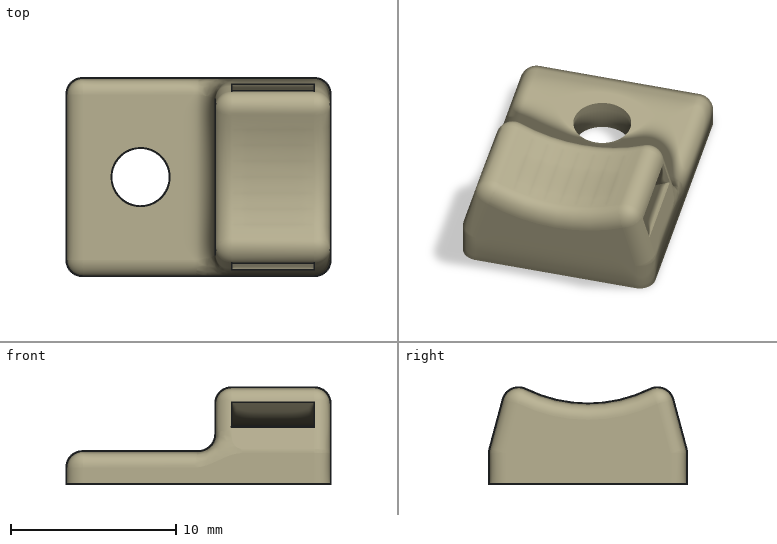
import cadquery as cq
import math

length = 16.0
width = 12.0
base_height = 2.0
edge_radius = 1.0

saddle_start = 9.0
side_draft = math.radians(15)
saddle_radius = 8.5
saddle_low_height = 4.88
blank_height = 8.0

hole_diameter = 3.5
hole_x = 4.5

strap_roof_thickness = 1.4
strap_passage_height = 1.5

saddle_length = length - saddle_start
saddle_axis_height = saddle_low_height + saddle_radius


def cylinder_along_x(radius, start, span):
    """Cylinder about the saddle axis, running in +X."""
    axis_plane = cq.Workplane("YZ", origin=(start, 0, saddle_axis_height))
    return axis_plane.circle(radius).extrude(span)


def base_plate():
    return cq.Workplane("XY").box(length, width, base_height, centered=(False, True, False))


def saddle_block():
    """Block with leaning sides and a hollow cylindrical top."""
    half_base = width / 2
    half_top = half_base - (blank_height - base_height) * math.tan(side_draft)
    blank = (
        cq.Workplane("YZ", origin=(saddle_start, 0, 0))
        .moveTo(-half_base, 0)
        .lineTo(half_base, 0)
        .lineTo(half_base, base_height)
        .lineTo(half_top, blank_height)
        .lineTo(-half_top, blank_height)
        .lineTo(-half_base, base_height)
        .close()
        .extrude(saddle_length)
    )
    return blank.cut(cylinder_along_x(saddle_radius, saddle_start, saddle_length))


def strap_passage():
    """Curved passage open at both leaning sides, inset by the edge radius in X."""
    start = saddle_start + edge_radius
    span = saddle_length - 2 * edge_radius
    roof_radius = saddle_radius + strap_roof_thickness
    floor_radius = roof_radius + strap_passage_height
    ring = cylinder_along_x(floor_radius, start, span)
    return ring.cut(cylinder_along_x(roof_radius, start, span))


body = base_plate().union(saddle_block()).clean()

underside_edges = body.faces("<Z").edges().vals()
rounded_edges = [
    edge for edge in body.edges().vals()
    if not any(edge.isSame(other) for other in underside_edges)
]
body = body.newObject(rounded_edges).fillet(edge_radius)

hole = cq.Workplane("XY").center(hole_x, 0).circle(hole_diameter / 2).extrude(base_height)
result = body.cut(hole).cut(strap_passage())